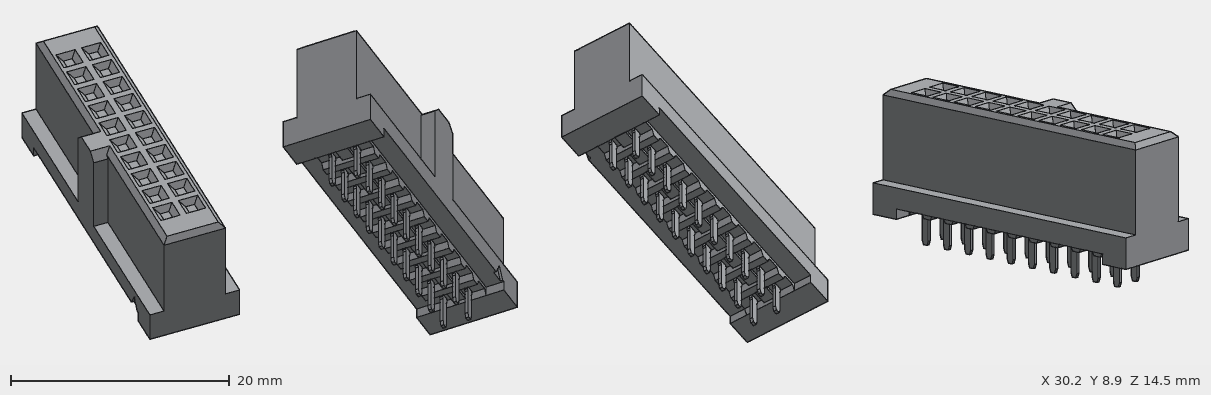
import cadquery as cq


length = 30.2
base_width = 8.9
base_height = 3.0
tower_width = 6.1
body_height = 11.55
tower_chamfer = 0.5

key_width = 3.7
key_chamfer = 0.8

columns = 10
pitch = 2.55
row_offset = pitch / 2
column_positions = [(i - (columns - 1) / 2) * pitch for i in range(columns)]
row_positions = [-row_offset, row_offset]

mouth_width = 1.9
funnel_depth = 0.5

notch_bottom_width = 1.78
notch_top_width = 1.18
notch_height = 0.6
web_clearance = 0.27
web_width = 1.2

recess_length = (columns - 1) * pitch + notch_bottom_width
recess_height = 1.0
recess_depth = 1.8

mark_width = 1.33
mark_height = 1.18
mark_depth = 0.25

pin_length = 2.9
pin_width = 0.72
pin_thickness = 0.3
pin_tip_height = 0.42
pin_tip_width = 0.42
shoulder_width = 0.9
shoulder_bottom = 0.27
shoulder_taper_height = 0.18
pin_embed = 0.3

front_y = -base_width / 2
tower_front_y = -tower_width / 2


def box(size_x, size_y, size_z, bottom_z):
    """Box centred on X and Y, standing on bottom_z."""
    return cq.Workplane("XY", origin=(0, 0, bottom_z)).box(
        size_x, size_y, size_z, centered=(True, True, False)
    )


def prism(points, start_y, end_y):
    """Prism along Y from a closed outline of (x, z) points."""
    outline = cq.Workplane("XZ", origin=(0, start_y, 0)).polyline(points).close()
    return outline.extrude(start_y - end_y)


def make_tower():
    """Tower with bevelled top edges."""
    tower = box(length, tower_width, body_height - base_height, base_height)
    return tower.faces(">Z").edges().chamfer(tower_chamfer)


def make_key():
    """Key that runs from the front of the base into the bevelled front edge of the tower."""
    half_width = key_width / 2
    half_top = half_width - key_chamfer
    shoulder_z = body_height - key_chamfer
    points = [
        (-half_width, base_height),
        (half_width, base_height),
        (half_width, shoulder_z),
        (half_top, body_height),
        (-half_top, body_height),
        (-half_width, shoulder_z),
    ]
    return prism(points, front_y, tower_front_y + tower_chamfer)


def make_funnel(x, y):
    """Square funnel that narrows downward to a flat floor."""
    floor_width = mouth_width - 2 * funnel_depth
    return (
        cq.Workplane("XY", origin=(x, y, body_height))
        .rect(mouth_width, mouth_width)
        .workplane(offset=-funnel_depth)
        .rect(floor_width, floor_width)
        .loft(ruled=True)
    )


def make_notch(x):
    """Tapered notch across the underside, without the web left between the two pin rows."""
    points = [
        (x - notch_bottom_width / 2, 0),
        (x + notch_bottom_width / 2, 0),
        (x + notch_top_width / 2, notch_height),
        (x - notch_top_width / 2, notch_height),
    ]
    recessed_half_width = base_width / 2 - recess_depth
    notch = prism(points, -recessed_half_width, recessed_half_width)
    web = box(length, web_width, notch_height, web_clearance)
    return notch.cut(web)


def make_mark():
    """Shallow triangle above the last column, open to the front recess."""
    x = column_positions[-1]
    points = [
        (x - mark_width / 2, recess_height),
        (x + mark_width / 2, recess_height),
        (x, recess_height + mark_height),
    ]
    return prism(points, front_y, front_y + mark_depth)


def make_pin(x, y):
    """Flat pin with a wider shoulder at the top and a tapered tip."""
    half_tip = pin_tip_width / 2
    half_pin = pin_width / 2
    half_shoulder = shoulder_width / 2
    tip_top = pin_tip_height - pin_length
    taper_bottom = shoulder_bottom - shoulder_taper_height
    top = notch_height + pin_embed
    right_side = [
        (half_tip, -pin_length),
        (half_pin, tip_top),
        (half_pin, taper_bottom),
        (half_shoulder, shoulder_bottom),
        (half_shoulder, top),
    ]
    left_side = [(-offset, z) for offset, z in reversed(right_side)]
    points = [(x + offset, z) for offset, z in right_side + left_side]
    return prism(points, y - pin_thickness / 2, y + pin_thickness / 2)


body = box(length, base_width, base_height, 0).union(make_tower()).union(make_key())

for side in (-1, 1):
    recess = box(recess_length, recess_depth, recess_height, 0)
    recess_y = side * (base_width - recess_depth) / 2
    body = body.cut(recess.translate((0, recess_y, 0)))

body = body.cut(make_mark())

for column_x in column_positions:
    body = body.cut(make_notch(column_x))
    for row_y in row_positions:
        body = body.cut(make_funnel(column_x, row_y))
        body = body.union(make_pin(column_x, row_y))

result = body